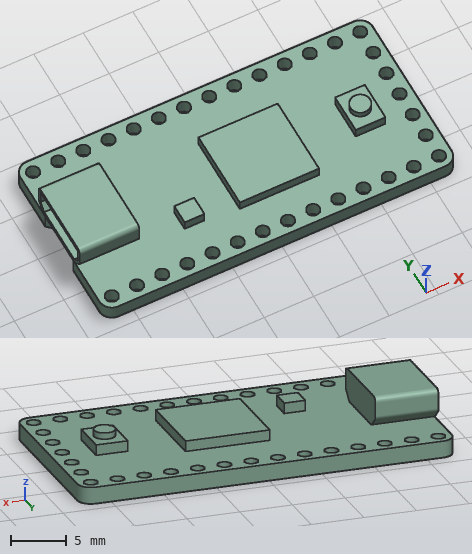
import cadquery as cq

hole_pitch = 2.54
hole_diameter = 1.27
holes_along = 14
holes_across = 7
board_length = holes_along * hole_pitch
board_width = holes_across * hole_pitch
board_thickness = 1.6
corner_radius = hole_pitch / 2
edge_margin = hole_pitch / 2

usb_length = 6.0
usb_width = 8.0
usb_height = 3.0
usb_wall = 0.4
usb_corner_radius = 0.5
usb_lower_chamfer = 1.0
cavity_lower_chamfer = 0.7
usb_center_y = 0.127

notch_mouth_width = 5.4
notch_floor_width = 4.3
notch_depth = (notch_mouth_width - notch_floor_width) / 2

component_height = 1.0
processor_size = 8.0
processor_center = (19.812, -0.508)
small_chip_size = 2.0
small_chip_center = (11.43, -3.15)
button_length = 3.0
button_width = 4.0
button_center = (30.165, -0.305)
plunger_diameter = 2.0
plunger_height = 0.6


def make_board():
    board = (
        cq.Workplane("XY")
        .rect(board_length, board_width)
        .extrude(board_thickness)
        .edges("|Z")
        .fillet(corner_radius)
        .translate((board_length / 2, 0, 0))
    )
    row_y = board_width / 2 - edge_margin
    last_x = board_length - edge_margin
    centers = []
    for index in range(holes_along):
        x = edge_margin + index * hole_pitch
        centers.append((x, row_y))
        centers.append((x, -row_y))
    for index in range(1, holes_across - 1):
        centers.append((last_x, -row_y + index * hole_pitch))
    holes = cq.Workplane("XY").pushPoints(centers).circle(hole_diameter / 2).extrude(board_thickness)
    notch = (
        cq.Workplane("XY")
        .polyline([
            (0, usb_center_y - notch_mouth_width / 2),
            (notch_depth, usb_center_y - notch_floor_width / 2),
            (notch_depth, usb_center_y + notch_floor_width / 2),
            (0, usb_center_y + notch_mouth_width / 2),
        ])
        .close()
        .extrude(board_thickness)
    )
    return board.cut(holes).cut(notch)


def make_usb_prism(width, height, lower_chamfer, length):
    """Box along +X from X = 0, standing on Z = 0, with both lower long edges chamfered."""
    return (
        cq.Workplane("XY")
        .box(length, width, height, centered=(False, True, False))
        .edges("|X and <Z")
        .chamfer(lower_chamfer)
    )


def make_usb_connector():
    shell = (
        make_usb_prism(usb_width, usb_height, usb_lower_chamfer, usb_length)
        .edges("|X")
        .fillet(usb_corner_radius)
    )
    cavity = make_usb_prism(
        usb_width - 2 * usb_wall,
        usb_height - 2 * usb_wall,
        cavity_lower_chamfer,
        usb_length - usb_wall,
    ).translate((0, 0, usb_wall))
    return shell.cut(cavity).translate((0, usb_center_y, board_thickness))


def make_chip(length, width, center):
    """Plain block standing on the board."""
    return (
        cq.Workplane("XY", origin=(*center, board_thickness))
        .rect(length, width)
        .extrude(component_height)
    )


def make_button():
    """Rectangular base with a round plunger on top, as one body."""
    base = make_chip(button_length, button_width, button_center)
    plunger = (
        cq.Workplane("XY", origin=(*button_center, board_thickness + component_height))
        .circle(plunger_diameter / 2)
        .extrude(plunger_height)
    )
    return base.union(plunger)


board = make_board()
usb_connector = make_usb_connector()
processor = make_chip(processor_size, processor_size, processor_center)
small_chip = make_chip(small_chip_size, small_chip_size, small_chip_center)
button = make_button()

result = cq.Compound.makeCompound([
    board.val(),
    usb_connector.val(),
    processor.val(),
    small_chip.val(),
    button.val(),
])